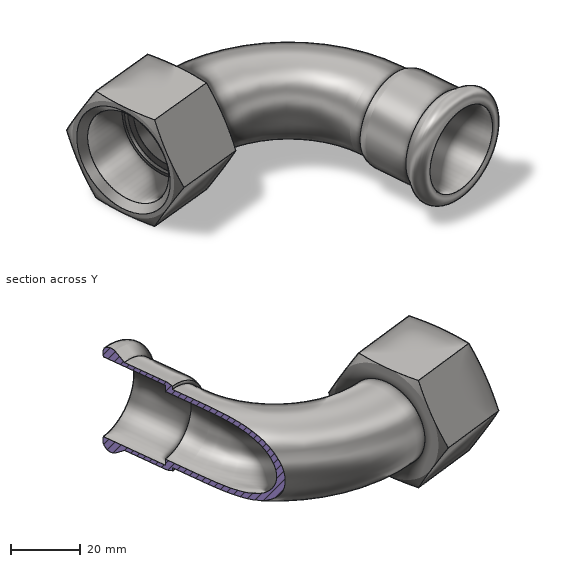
import cadquery as cq
import math

tube_radius = 14.0
bore_radius = 11.9
bend_radius = 41.7
inlet_axis_y = 66.0
bend_start_y = inlet_axis_y - bend_radius

nut_across_flats = 38.0
nut_length = 25.0
nut_chamfer_angle = 15
nut_corner_radius = nut_across_flats / math.sqrt(3)

mouth_radius = 17.5
mouth_depth = 2.1
thread_radius = 15.1
thread_depth = 17.7
seat_radius = 14.2
seat_depth = 19.0

socket_start_x = 46.2
socket_lip_radius = 15.0
socket_shoulder_x = 48.85
socket_radius = 15.7
flare_start_x = 63.9
flare_end_x = 67.3
socket_end_x = 72.0
socket_bore_radius = 14.1
bead_outer_radius = 18.6
bead_section_radius = 3.1
bead_center_x = socket_end_x - bead_section_radius
bead_center_radius = bead_outer_radius - bead_section_radius
flare_end_radius = bead_center_radius + math.sqrt(
    bead_section_radius**2 - (bead_center_x - flare_end_x) ** 2
)
bead_inner_x = bead_center_x + math.sqrt(
    bead_section_radius**2 - (bead_center_radius - socket_bore_radius) ** 2
)


def swept_elbow(radius):
    """Round bar following the center line from the nut mouth to the socket end."""
    path = (
        cq.Workplane("XY")
        .lineTo(0, bend_start_y)
        .radiusArc((bend_radius, inlet_axis_y), bend_radius)
        .lineTo(socket_end_x, inlet_axis_y)
    )
    return cq.Workplane("XZ").circle(radius).sweep(path)


def make_nut():
    """Hexagon with corners on the X axis, trimmed by a cone at each end."""
    hexagon = cq.Workplane("XZ").polygon(6, 2 * nut_corner_radius).extrude(-nut_length)
    flat_radius = nut_across_flats / 2
    trim_radius = nut_corner_radius + 0.9
    trim_drop = (trim_radius - flat_radius) * math.tan(math.radians(nut_chamfer_angle))
    trim = (
        cq.Workplane("XY")
        .lineTo(flat_radius, 0)
        .lineTo(trim_radius, trim_drop)
        .lineTo(trim_radius, nut_length - trim_drop)
        .lineTo(flat_radius, nut_length)
        .lineTo(0, nut_length)
        .close()
        .revolve(360, (0, 0), (0, 1))
    )
    return hexagon.intersect(trim)


def make_nut_recess():
    """Conical mouth, thread bore and stepped seat in front of the tube bore."""
    return (
        cq.Workplane("XY")
        .lineTo(mouth_radius, 0)
        .lineTo(thread_radius, mouth_depth)
        .lineTo(thread_radius, thread_depth)
        .lineTo(seat_radius, thread_depth)
        .lineTo(seat_radius, seat_depth)
        .lineTo(0, seat_depth)
        .close()
        .revolve(360, (0, 0), (0, 1))
    )


def make_socket():
    """Rounded shoulder, cylinder, flare and rolled bead turned about the socket axis."""
    return (
        cq.Workplane("XY", origin=(0, inlet_axis_y, 0))
        .moveTo(socket_start_x, 0)
        .lineTo(bead_inner_x, 0)
        .lineTo(bead_inner_x, socket_bore_radius)
        .threePointArc((bead_center_x, bead_outer_radius), (flare_end_x, flare_end_radius))
        .lineTo(flare_start_x, socket_radius)
        .lineTo(socket_shoulder_x, socket_radius)
        .tangentArcPoint((socket_start_x, socket_lip_radius), relative=False)
        .close()
        .revolve(360, (0, 0), (1, 0))
    )


def make_socket_bore():
    """Straight bore from the open end back to the shoulder."""
    return (
        cq.Workplane("YZ", origin=(socket_shoulder_x, inlet_axis_y, 0))
        .circle(socket_bore_radius)
        .extrude(socket_end_x - socket_shoulder_x)
    )


outside = swept_elbow(tube_radius).union(make_nut()).union(make_socket())
inside = swept_elbow(bore_radius).union(make_nut_recess()).union(make_socket_bore())
result = outside.cut(inside)